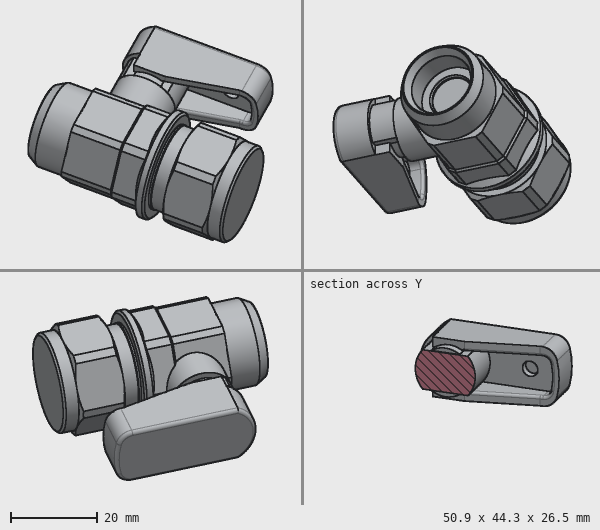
import cadquery as cq
import math

STEM_X = 18.5
LENGTH = 50.85
HEIGHT = 44.3
BODY_DIAMETER = 26.5

SPIGOT_R = 10.4
SPIGOT_TIP_R = 9.0
SPIGOT_TAPER_END_X = 2.5
BORE_MOUTH_R = 8.65
BORE_R = 7.5
BORE_TAPER_LENGTH = 2.05
BORE_DEPTH = 8.05
SEAT_R = 5.5
SEAT_FLOOR_R = 5.1
SEAT_TAPER_LENGTH = 0.4
SEAT_LAND_LENGTH = 0.4

SMALL_HEX_X = 9.95
SMALL_HEX_END_X = 22.55
LARGE_HEX_X = 23.05
SMALL_HEX_FLAT = 11.0
SMALL_HEX_CORNER = 12.15
LARGE_HEX_FLAT = 11.5
LARGE_HEX_CORNER = 12.65

COLLAR_R = BODY_DIAMETER / 2
COLLAR_X = 29.45
COLLAR_BEVEL_X = 30.95
COLLAR_END_X = 31.5
COLLAR_END_R = 12.7
COLLAR_FRONT_SLOPE = math.tan(math.radians(60))

SHOULDER_R = 10.55
SHOULDER_BEVEL_X = 32.0
SHOULDER_END_X = 32.15
NECK_R = 10.35

NUT_X = 35.85
NUT_END_X = 47.2
NUT_FLAT = 12.0
NUT_CORNER = BODY_DIAMETER / 2
NUT_BEVEL_R = 12.05
NUT_BEVEL_SLOPE = math.tan(math.radians(60))
RING_R = 11.95
RING_END_R = 11.4
RING_BEVEL_X = 50.3

BONNET_R = 7.55
BONNET_TOP_Y = 16.0

HANDLE_TOP_Y = HEIGHT - NUT_CORNER
HANDLE_RIM_Y = 22.0
HANDLE_HALF_WIDTH = 7.5
HANDLE_BACK_R = 8.55
HANDLE_END_X = 44.55
HANDLE_END_R = 19.85
HANDLE_CORNER_R = 3.8
HANDLE_TOP_FILLET = 0.9
CAVITY_HALF_WIDTH = 5.0
CAVITY_FLOOR_Y = 25.4
CAVITY_END_WALL = 1.85
CAVITY_CORNER_R = 2.05
CAVITY_RIM_FILLET = 0.7
CHEEK_X = 14.45
CHEEK_LOW_Y = 18.4
CHEEK_LOW_END_X = 22.35
CHEEK_END_X = 39.7
HUB_R = 6.1
HUB_GAP = 0.15
HOLE_R = 1.9
HOLE_DEPTH = 2.05
HOLE_X = 36.0


def revolve_about_x(profile):
    """Revolve a closed outline of (x, radius) points about the X axis."""
    return cq.Workplane("XY").polyline(profile).close().revolve(360, (0, 0, 0), (1, 0, 0))


def hex_outline(flat, corner):
    """Points (y, z) of a hexagon with corners on +-Y, each cut square at the distance `corner`."""
    half_cut = (2 * flat / math.sqrt(3) - corner) * math.tan(math.radians(60))
    points = []
    for turn in range(6):
        angle = math.radians(60 * turn)
        for side in (-half_cut, half_cut):
            y = corner * math.cos(angle) - side * math.sin(angle)
            z = corner * math.sin(angle) + side * math.cos(angle)
            points.append((y, z))
    return points


def hex_prism(flat, corner, start_x, end_x):
    plane = cq.Workplane("YZ").workplane(offset=start_x)
    return plane.polyline(hex_outline(flat, corner)).close().extrude(end_x - start_x)


def hex_transition():
    """Loft between the two housing hexagons."""
    plane = cq.Workplane("YZ").workplane(offset=SMALL_HEX_END_X)
    small = plane.polyline(hex_outline(SMALL_HEX_FLAT, SMALL_HEX_CORNER)).close()
    large = small.workplane(offset=LARGE_HEX_X - SMALL_HEX_END_X)
    return large.polyline(hex_outline(LARGE_HEX_FLAT, LARGE_HEX_CORNER)).close().loft(ruled=True)


def make_nut():
    prism = hex_prism(NUT_FLAT, NUT_CORNER, NUT_X, NUT_END_X)
    bevel_reach = (NUT_END_X - NUT_X) / 2
    middle_x = NUT_X + bevel_reach
    middle_r = NUT_BEVEL_R + bevel_reach * NUT_BEVEL_SLOPE
    envelope = revolve_about_x(
        [(NUT_X, 0), (NUT_X, NUT_BEVEL_R), (middle_x, middle_r), (NUT_END_X, NUT_BEVEL_R), (NUT_END_X, 0)]
    )
    return prism.intersect(envelope)


def make_valve_body():
    collar_root_x = COLLAR_X - (COLLAR_R - SPIGOT_R) / COLLAR_FRONT_SLOPE
    core = revolve_about_x(
        [
            (0, 0),
            (0, SPIGOT_TIP_R),
            (SPIGOT_TAPER_END_X, SPIGOT_R),
            (collar_root_x, SPIGOT_R),
            (COLLAR_X, COLLAR_R),
            (COLLAR_BEVEL_X, COLLAR_R),
            (COLLAR_END_X, COLLAR_END_R),
            (COLLAR_END_X, SHOULDER_R),
            (SHOULDER_BEVEL_X, SHOULDER_R),
            (SHOULDER_END_X, NECK_R),
            (NUT_X, NECK_R),
            (NUT_END_X, RING_R),
            (RING_BEVEL_X, RING_R),
            (LENGTH, RING_END_R),
            (LENGTH, 0),
        ]
    )
    bonnet = cq.Workplane("XZ", origin=(STEM_X, 0, 0)).circle(BONNET_R).extrude(-BONNET_TOP_Y)
    seat_land_x = BORE_DEPTH + SEAT_TAPER_LENGTH
    seat_floor_x = seat_land_x + SEAT_LAND_LENGTH
    bore = revolve_about_x(
        [
            (0, 0),
            (0, BORE_MOUTH_R),
            (BORE_TAPER_LENGTH, BORE_R),
            (BORE_DEPTH, BORE_R),
            (BORE_DEPTH, SEAT_R),
            (seat_land_x, SEAT_FLOOR_R),
            (seat_floor_x, SEAT_FLOOR_R),
            (seat_floor_x, 0),
        ]
    )
    return (
        core.union(hex_prism(SMALL_HEX_FLAT, SMALL_HEX_CORNER, SMALL_HEX_X, SMALL_HEX_END_X))
        .union(hex_transition())
        .union(hex_prism(LARGE_HEX_FLAT, LARGE_HEX_CORNER, LARGE_HEX_X, COLLAR_X))
        .union(make_nut())
        .union(bonnet)
        .cut(bore)
    )


def handle_level(y):
    """Workplane across the stem axis at height y: its x is X, its y is Z, and extruding by -d goes to y + d."""
    return cq.Workplane("XZ", origin=(0, y, 0))


def end_arc_x(end_x, radius, z):
    """X of the bulging handle end at the sideways distance z."""
    return end_x - radius + math.sqrt(radius**2 - z**2)


def handle_grip():
    w = HANDLE_HALF_WIDTH
    back_x = STEM_X - math.sqrt(HANDLE_BACK_R**2 - w**2)
    corner_x = end_arc_x(HANDLE_END_X, HANDLE_END_R, w)
    grip = (
        handle_level(HANDLE_RIM_Y)
        .moveTo(back_x, -w)
        .lineTo(corner_x, -w)
        .threePointArc((HANDLE_END_X, 0), (corner_x, w))
        .lineTo(back_x, w)
        .threePointArc((STEM_X - HANDLE_BACK_R, 0), (back_x, -w))
        .close()
        .extrude(HANDLE_RIM_Y - HANDLE_TOP_Y)
    )
    grip = grip.edges("|Y").edges(">X").fillet(HANDLE_CORNER_R)
    return grip.faces(">Y").edges().fillet(HANDLE_TOP_FILLET)


def handle_cavity():
    w = CAVITY_HALF_WIDTH
    end_x = HANDLE_END_X - CAVITY_END_WALL
    end_r = HANDLE_END_R - CAVITY_END_WALL
    corner_x = end_arc_x(end_x, end_r, w)
    cavity = (
        handle_level(HANDLE_RIM_Y)
        .moveTo(STEM_X, -w)
        .lineTo(corner_x, -w)
        .threePointArc((end_x, 0), (corner_x, w))
        .lineTo(STEM_X, w)
        .close()
        .extrude(HANDLE_RIM_Y - CAVITY_FLOOR_Y)
    )
    return cavity.edges("|Y").edges(">X").fillet(CAVITY_CORNER_R)


def handle_cheeks():
    outline = [
        (CHEEK_X, CAVITY_FLOOR_Y),
        (CHEEK_X, CHEEK_LOW_Y),
        (CHEEK_LOW_END_X, CHEEK_LOW_Y),
        (CHEEK_END_X, HANDLE_RIM_Y),
        (CHEEK_END_X, CAVITY_FLOOR_Y),
    ]
    plane = cq.Workplane("XY", origin=(0, 0, CAVITY_HALF_WIDTH))
    cheek = plane.polyline(outline).close().extrude(HANDLE_HALF_WIDTH - CAVITY_HALF_WIDTH)
    return cheek.union(cheek.mirror("XY"))


def handle_hub():
    """Round hub above the bonnet, flanked by two lugs that rest on it."""
    disc = handle_level(BONNET_TOP_Y).center(STEM_X, 0).circle(BONNET_R).extrude(BONNET_TOP_Y - CAVITY_FLOOR_Y)
    slab = cq.Workplane("XY").box(2 * BONNET_R, 2 * CAVITY_FLOOR_Y, 2 * CAVITY_HALF_WIDTH)
    slab = slab.translate((STEM_X, CAVITY_FLOOR_Y, 0))
    hub_y = BONNET_TOP_Y + HUB_GAP
    hub = handle_level(hub_y).center(STEM_X, 0).circle(HUB_R).extrude(hub_y - CAVITY_FLOOR_Y)
    return disc.intersect(slab).union(hub)


def cavity_rim_selector():
    """Picks the inner rim edges, by their centres: sloped cheeks, straight stubs, corners and end."""
    margin = 0.05
    reach_z = CAVITY_HALF_WIDTH + margin
    inner_end_x = HANDLE_END_X - CAVITY_END_WALL
    return cq.selectors.BoxSelector(
        (CHEEK_LOW_END_X, CHEEK_LOW_Y + margin, -reach_z),
        (inner_end_x, HANDLE_RIM_Y + margin, reach_z),
    )


def make_handle():
    shell = handle_grip().union(handle_cheeks()).cut(handle_cavity())
    shell = shell.edges(cavity_rim_selector()).fillet(CAVITY_RIM_FILLET)
    hole = handle_level(CAVITY_FLOOR_Y).center(HOLE_X, 0).circle(HOLE_R).extrude(-HOLE_DEPTH)
    return shell.union(handle_hub()).cut(hole)


valve_body = make_valve_body()
handle = make_handle()

result = cq.Compound.makeCompound([valve_body.val(), handle.val()])